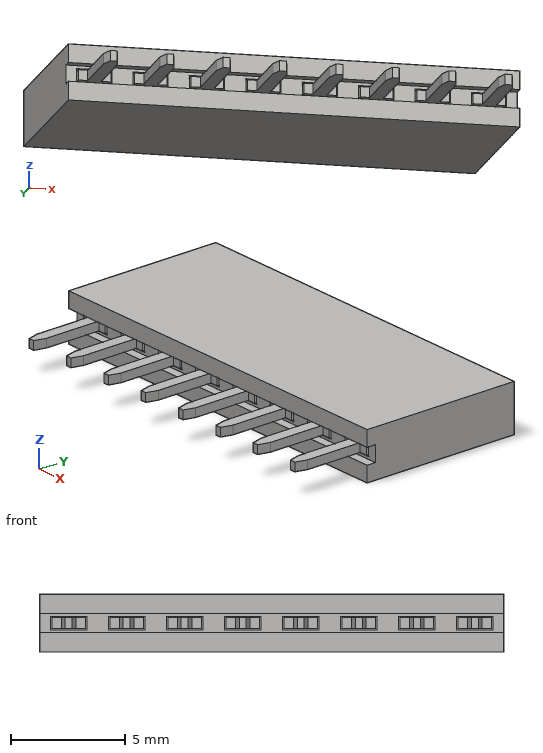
import cadquery as cq

total_depth = 11.6
contact_count = 8

housing_length = 20.32
housing_depth = 8.41
housing_height = 2.55
groove_depth = 0.47
groove_height = housing_height / 3

pitch = housing_length / contact_count
contact_thickness = 0.47
head_width = 1.46
head_depth = 2.03
head_proud = 0.06
tail_width = 0.63
tip_width = 0.3
tip_length = 0.59

pocket_gap = 0.06

housing_front = total_depth / 2 - housing_depth
groove_floor = housing_front + groove_depth
head_front = groove_floor - head_proud
head_back = head_front + head_depth
tip_end = -total_depth / 2
tip_start = tip_end + tip_length

contact_positions = [(i - (contact_count - 1) / 2) * pitch for i in range(contact_count)]


def block(width, y_start, y_end, height, x=0.0):
    """Box centred on x and on the XY plane, reaching from y_start to y_end."""
    return cq.Workplane("XY").box(width, y_end - y_start, height).translate((x, (y_start + y_end) / 2, 0))


def make_housing():
    """Plain block with a groove along its -Y face and a blind pocket for each contact head."""
    body = block(housing_length, housing_front, total_depth / 2, housing_height)
    body = body.cut(block(housing_length, housing_front, groove_floor, groove_height))
    pocket_width = head_width + 2 * pocket_gap
    pocket_height = contact_thickness + 2 * pocket_gap
    for x in contact_positions:
        body = body.cut(block(pocket_width, groove_floor, head_back, pocket_height, x))
    return body


def make_contact(x):
    """Flat contact: wide head seated on the pocket floor, narrow tail, tapered tip."""
    right_side = [
        (tip_width / 2, tip_end),
        (tail_width / 2, tip_start),
        (tail_width / 2, head_front),
        (head_width / 2, head_front),
        (head_width / 2, head_back),
    ]
    left_side = [(-half_width, y) for half_width, y in reversed(right_side)]
    outline = cq.Workplane("XY").polyline(right_side + left_side).close()
    return outline.extrude(contact_thickness / 2, both=True).translate((x, 0, 0))


housing = make_housing()
contacts = [make_contact(x) for x in contact_positions]

result = cq.Compound.makeCompound([housing.val(), *[contact.val() for contact in contacts]])